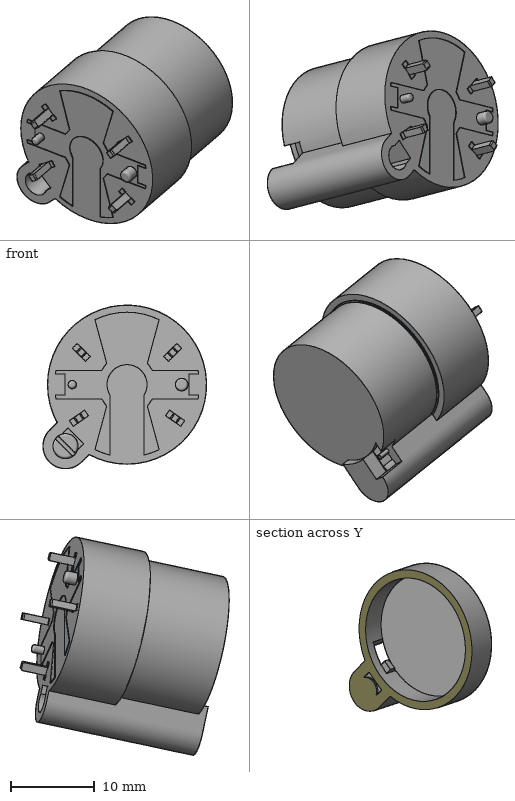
import cadquery as cq
import math

flange_radius = 9.5
flange_length = 8.3
barrel_radius = 8.55
barrel_end = 18.45
cavity_radius = 7.5

collar_radius = 8.68
collar_end = 8.4
groove_radius = 8.5
groove_end = 8.53

lug_radius = 2.7
lug_centre = -7.34
lug_end = 19.45
lug_distance = -lug_centre * math.sqrt(2)
lug_neck_length = 5.18

bore_diameter = 3.0
bore_radius = bore_diameter / 2
keyway_half_width = 1.33
keyway_reach = 1.73
bore_depth = 14.85
plug_length = 0.68
plug_fillet = 0.3
screw_slot_radius = 0.25

window_start = 15.86
rear_wall_start = 17.62
window_half_width = 3.94
window_floor = 0.07
pocket_reach = 3.6

key_end = 17.5
key_face = 1.28
key_reach = 3.71
key_chamfer = 0.8
bead_radius = 0.3
bead_position = 1.95
bead_height = 1.42
bead_end = 17.35

plate_thickness = 0.1
plate_radius = 8.65
arm_half_height = 1.7
wedge_tip_x = 3.82
wedge_root_x = 2.43
wedge_root_z = 2.56
arm_root_x = 3.02
keyhole_radius = 2.38
keyhole_slot_width = 4.0
arm_notch_x = 7.4
arm_notch_height = 2.52

contact_places = [
    (-5.45, 3.85, -45),
    (5.45, 3.85, 45),
    (-5.74, -4.0, 35),
    (5.74, -4.0, -35),
]
contact_width = 1.0
contact_thickness = 0.8
contact_tip = 3.05
contact_chamfer = 0.15
socket_length = 2.2
socket_depth = 0.1

locating_pins = [(-6.52, 1.0, 0.3), (6.52, 1.5, 0.27)]
locating_pin_tip = 1.5


def face_plane(y=0.0):
    """Plane across the body axis at the given Y; its normal points to -Y."""
    return cq.Workplane("XZ", origin=(0, y, 0))


def lug_plane(y=0.0):
    """Plane centred on the lug; local x points at the body axis, local y to the -X +Z side."""
    return cq.Workplane(cq.Plane(origin=(lug_centre, y, lug_centre), xDir=(1, 0, 1), normal=(0, -1, 0)))


def lug_box(x_range, y_range, start, end):
    """Box between two depths, given by its ranges in the lug's local x and y."""
    size_x = x_range[1] - x_range[0]
    size_y = y_range[1] - y_range[0]
    corner = lug_plane(start).center(x_range[0], y_range[0])
    return corner.rect(size_x, size_y, centered=False).extrude(start - end)


def cylinder(radius, start, end):
    return face_plane(start).circle(radius).extrude(start - end)


def make_barrel():
    """Barrel with a collar and a groove at the flange."""
    barrel = cylinder(barrel_radius, 0, barrel_end)
    groove = cylinder(barrel_radius, collar_end, groove_end).cut(
        cylinder(groove_radius, collar_end, groove_end)
    )
    return barrel.cut(groove).union(cylinder(collar_radius, 0, collar_end))


def make_lug():
    lug = lug_plane().circle(lug_radius).extrude(-lug_end)
    neck = lug_box((0, lug_neck_length), (-lug_radius, lug_radius), 0, lug_end)
    return lug.union(neck).cut(cylinder(cavity_radius, 0, lug_end))


def cut_window(body):
    """Open the lug flank outside the cavity radius, then a deeper pocket in front of the rear wall."""
    flank = (keyway_half_width, window_half_width)
    opening = lug_box((window_floor, lug_distance), flank, window_start, lug_end)
    opening = opening.cut(cylinder(cavity_radius, window_start, lug_end))
    pocket = lug_box((window_floor, pocket_reach), (0, window_half_width), window_start, rear_wall_start)
    return body.cut(opening).cut(pocket)


def make_coding_key():
    key = lug_box((window_floor, key_reach), (0, key_face), window_start, key_end)
    far_edge = cq.selectors.NearestToPointSelector(key_far_corner())
    key = key.edges(far_edge).chamfer(key_chamfer)
    shank = lug_plane(window_start).circle(bore_radius).extrude(window_start - key_end)
    bead = (
        lug_plane(window_start)
        .center(bead_position, bead_height)
        .circle(bead_radius)
        .extrude(window_start - bead_end)
    )
    return key.union(shank).union(bead)


def key_far_corner():
    """Middle of the key edge that is farthest from the lug and from the contact face."""
    return lug_plane(key_end).plane.toWorldCoords((key_reach, key_face / 2, 0)).toTuple()


def cut_bore(body):
    bore = lug_plane().circle(bore_radius).extrude(-bore_depth)
    keyway = lug_box((0, keyway_reach), (-keyway_half_width, keyway_half_width), 0, bore_depth)
    return body.cut(bore).cut(keyway)


def make_plug():
    """Rounded plug with a half-round screwdriver slot across its face."""
    plug_face = bore_depth - plug_length
    plug = lug_plane(bore_depth).circle(bore_radius).extrude(plug_length)
    plug = plug.faces("<Y").edges().fillet(plug_fillet)
    slot_plane = cq.Plane(origin=(lug_centre, plug_face, lug_centre), xDir=(1, 0, 1), normal=(-1, 0, 1))
    slot = cq.Workplane(slot_plane).circle(screw_slot_radius).extrude(bore_radius, both=True)
    return plug.cut(slot)


def make_face_plate():
    """Cross-shaped plate with a keyhole opening and a notch in each side arm."""
    wedge_tip_z = math.sqrt(plate_radius**2 - wedge_tip_x**2)
    arm_end_x = math.sqrt(plate_radius**2 - arm_half_height**2)
    cross = (
        face_plane()
        .moveTo(-wedge_tip_x, wedge_tip_z)
        .threePointArc((0, plate_radius), (wedge_tip_x, wedge_tip_z))
        .lineTo(wedge_root_x, wedge_root_z)
        .lineTo(arm_root_x, arm_half_height)
        .lineTo(arm_end_x, arm_half_height)
        .threePointArc((plate_radius, 0), (arm_end_x, -arm_half_height))
        .lineTo(arm_root_x, -arm_half_height)
        .lineTo(wedge_root_x, -wedge_root_z)
        .lineTo(wedge_tip_x, -wedge_tip_z)
        .threePointArc((0, -plate_radius), (-wedge_tip_x, -wedge_tip_z))
        .lineTo(-wedge_root_x, -wedge_root_z)
        .lineTo(-arm_root_x, -arm_half_height)
        .lineTo(-arm_end_x, -arm_half_height)
        .threePointArc((-plate_radius, 0), (-arm_end_x, arm_half_height))
        .lineTo(-arm_root_x, arm_half_height)
        .lineTo(-wedge_root_x, wedge_root_z)
        .close()
        .extrude(plate_thickness)
    )
    keyhole = face_plane().circle(keyhole_radius).extrude(plate_thickness)
    keyhole_slot = (
        face_plane()
        .center(0, -plate_radius / 2)
        .rect(keyhole_slot_width, plate_radius)
        .extrude(plate_thickness)
    )
    notches = (
        face_plane()
        .pushPoints([(-plate_radius, 0), (plate_radius, 0)])
        .rect(2 * (plate_radius - arm_notch_x), arm_notch_height)
        .extrude(plate_thickness)
    )
    return cross.cut(keyhole).cut(keyhole_slot).cut(notches)


def add_contacts(body):
    for x, z, angle in contact_places:
        socket_floor = face_plane(socket_depth).center(x, z).transformed(rotate=(0, 0, angle))
        socket = socket_floor.rect(socket_length, contact_thickness).extrude(socket_depth)
        pin_length = socket_depth + contact_tip
        pin = socket_floor.rect(contact_width, contact_thickness).extrude(pin_length)
        for side in (-1, 1):
            edge_middle = socket_floor.plane.toWorldCoords((side * contact_width / 2, 0, pin_length))
            tip_edge = cq.selectors.NearestToPointSelector(edge_middle.toTuple())
            pin = pin.edges(tip_edge).chamfer(contact_chamfer)
        body = body.cut(socket).union(pin)
    return body


def add_locating_pins(body):
    for x, diameter, rounding in locating_pins:
        pin = face_plane().center(x, 0).circle(diameter / 2).extrude(locating_pin_tip)
        body = body.union(pin.faces("<Y").edges().fillet(rounding))
    return body


body = cylinder(flange_radius, 0, flange_length)
body = body.union(make_barrel())
body = body.union(make_lug())
body = body.cut(cylinder(cavity_radius, flange_length, rear_wall_start))
body = cut_bore(body)
body = cut_window(body)
body = body.union(make_coding_key()).union(make_plug()).union(make_face_plate())
body = add_contacts(body)
result = add_locating_pins(body)